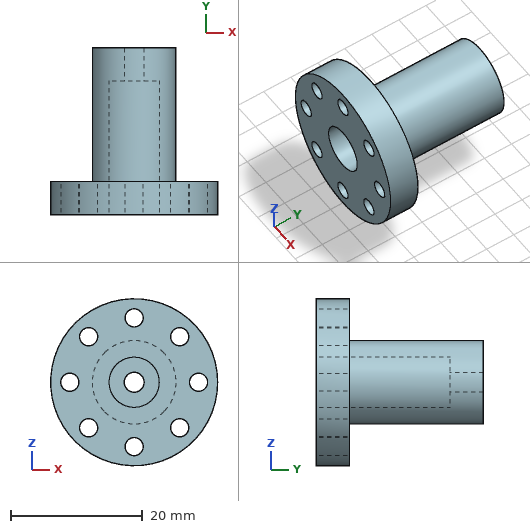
import cadquery as cq

total_length = 25.4
flange_diameter = 25.4
flange_thickness = 5.08
barrel_diameter = 12.7
bore_diameter = 7.62
bore_depth = 20.32
end_hole_diameter = 3.0
bolt_hole_count = 8
bolt_hole_diameter = 2.72
bolt_circle_diameter = 19.55


def cylinder_along_y(diameter, length):
    """Cylinder on the Y axis, starting at the flange face and running toward +Y."""
    return cq.Workplane("XZ").circle(diameter / 2).extrude(-length)


def bolt_holes():
    """Ring of through holes in the flange."""
    return (
        cq.Workplane("XZ")
        .polarArray(bolt_circle_diameter / 2, 0, 360, bolt_hole_count)
        .circle(bolt_hole_diameter / 2)
        .extrude(-flange_thickness)
    )


flange = cylinder_along_y(flange_diameter, flange_thickness)
barrel = cylinder_along_y(barrel_diameter, total_length)
body = flange.union(barrel)

bore = cylinder_along_y(bore_diameter, bore_depth)
end_hole = cylinder_along_y(end_hole_diameter, total_length)

result = body.cut(bore).cut(end_hole).cut(bolt_holes())